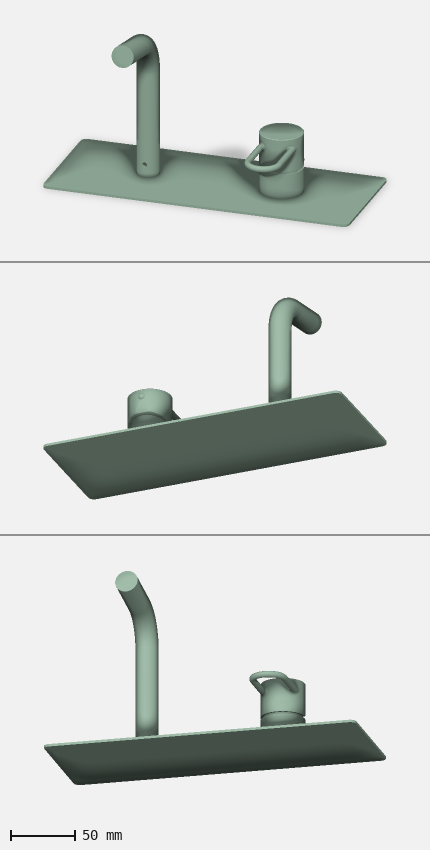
import cadquery as cq
import math

plate_length = 250.0
plate_width = 100.0
plate_thickness = 2.0
plate_corner_radius = 5.0

outlet_offset = 54.5

spout_x = -outlet_offset
spout_radius = 9.0
spout_column_top = 89.8
spout_bend_radius = 29.0
spout_rise_angle = 10.0
spout_nozzle_length = 39.8
screw_hole_diameter = 4.0
screw_hole_height = 12.5

mixer_x = outlet_offset
mixer_radius = 17.5
base_top = 22.5
neck_bottom_radius = 16.5
neck_taper_angle = 16.0

knob_bottom = 24.5
knob_top = 51.8
knob_edge_chamfer = 0.5
underside_angle = 24.0
relief_angle = 6.0
relief_top = 41.2

button_radius = 3.0
button_height = 45.5
button_projection = 1.5

lever_height = 42.5
lever_radius = 2.5
lever_half_spacing = 12.5
lever_straight_end = -44.0
lever_root_fillet = 1.5


def make_plate():
    blank = cq.Workplane("XY").box(plate_length, plate_width, plate_thickness, centered=(True, True, False))
    return blank.edges("|Z").fillet(plate_corner_radius)


def make_spout():
    """A round bar that rises from the plate, bends forward and ends in a square-cut nozzle."""
    rise = math.radians(spout_rise_angle)
    sweep_angle = math.pi / 2 - rise

    def bend_point(angle):
        y = -spout_bend_radius * (1 - math.cos(angle))
        z = spout_column_top + spout_bend_radius * math.sin(angle)
        return (y, z)

    bend_middle = bend_point(sweep_angle / 2)
    bend_end = bend_point(sweep_angle)
    nozzle_end = (
        bend_end[0] - spout_nozzle_length * math.cos(rise),
        bend_end[1] + spout_nozzle_length * math.sin(rise),
    )
    path = (
        cq.Workplane("YZ", origin=(spout_x, 0, 0))
        .moveTo(0, plate_thickness)
        .lineTo(0, spout_column_top)
        .threePointArc(bend_middle, bend_end)
        .lineTo(*nozzle_end)
    )
    bar = cq.Workplane("XY", origin=(spout_x, 0, plate_thickness)).circle(spout_radius).sweep(path)

    screw_hole = (
        cq.Workplane("XZ", origin=(spout_x, 0, screw_hole_height))
        .circle(screw_hole_diameter / 2)
        .extrude(2 * spout_radius)
    )
    return bar.cut(screw_hole)


def make_mixer_base():
    return (
        cq.Workplane("XY", origin=(mixer_x, 0, plate_thickness))
        .circle(mixer_radius)
        .extrude(base_top - plate_thickness)
    )


def make_neck(knob):
    """A cone on the mixer base that ends against the underside of the knob."""
    neck_top = (knob_bottom + knob_top) / 2
    cone = (
        cq.Workplane("XY", origin=(mixer_x, 0, base_top))
        .circle(neck_bottom_radius)
        .extrude(neck_top - base_top, taper=neck_taper_angle)
    )
    return cone.cut(knob)


def make_knob_barrel():
    """A cylinder cut away underneath its back half so that it can tip backwards."""
    barrel = (
        cq.Workplane("XY", origin=(mixer_x, 0, knob_bottom))
        .circle(mixer_radius)
        .extrude(knob_top - knob_bottom)
        .faces(">Z")
        .chamfer(knob_edge_chamfer)
    )
    cut_reach = 2 * mixer_radius
    underside_rise = cut_reach * math.tan(math.radians(underside_angle))
    underside_cut = (
        cq.Workplane("YZ", origin=(mixer_x, 0, knob_bottom))
        .polyline([(0, 0), (cut_reach, 0), (cut_reach, underside_rise)])
        .close()
        .extrude(mixer_radius, both=True)
    )
    relief_depth = (relief_top - knob_bottom) * math.tan(math.radians(relief_angle))
    back_relief = (
        cq.Workplane("YZ", origin=(mixer_x, mixer_radius, 0))
        .polyline([(0, relief_top), (-relief_depth, knob_bottom), (0, knob_bottom)])
        .close()
        .extrude(mixer_radius, both=True)
    )
    return barrel.cut(underside_cut).cut(back_relief)


def make_button():
    """A ball set into the back of the knob, so that only a shallow dome stands out."""
    button_y = mixer_radius + button_projection - button_radius
    return cq.Workplane("XY", origin=(mixer_x, button_y, button_height)).sphere(button_radius)


def make_lever():
    """A round rod bent into a U, with both ends inside the knob."""
    path = (
        cq.Workplane("XY", origin=(mixer_x, 0, lever_height))
        .moveTo(-lever_half_spacing, 0)
        .lineTo(-lever_half_spacing, lever_straight_end)
        .threePointArc(
            (0, lever_straight_end - lever_half_spacing),
            (lever_half_spacing, lever_straight_end),
        )
        .lineTo(lever_half_spacing, 0)
    )
    rod_start = (mixer_x - lever_half_spacing, 0, lever_height)
    return cq.Workplane("XZ", origin=rod_start).circle(lever_radius).sweep(path)


def make_knob():
    """Barrel, lever and button as one moving body."""
    knob = make_knob_barrel().union(make_lever())
    root_zone = cq.selectors.BoxSelector(
        (mixer_x - mixer_radius, -mixer_radius, lever_height - 2 * lever_radius),
        (mixer_x + mixer_radius, 0, lever_height + 2 * lever_radius),
        boundingbox=True,
    )
    return knob.edges(root_zone).fillet(lever_root_fillet).union(make_button())


def make_body(knob):
    """Plate, spout, mixer base and neck as one fixed body."""
    return make_plate().union(make_spout()).union(make_mixer_base()).union(make_neck(knob))


knob = make_knob()
body = make_body(knob)

result = cq.Compound.makeCompound([body.val(), knob.val()])